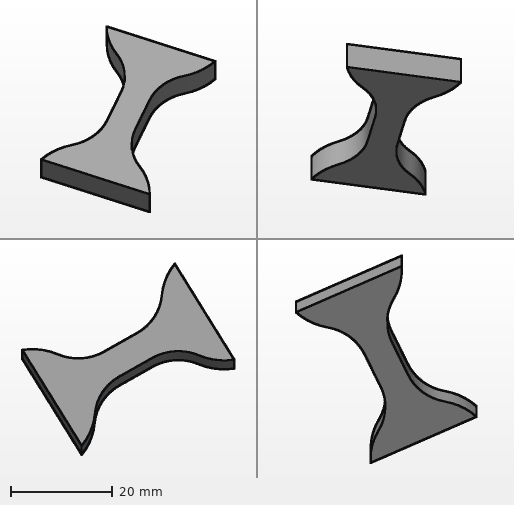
import cadquery as cq
import math

length = 35.0
end_width = 23.05
thickness = 6.0

web_width = 6.0
web_straight_length = 7.55
concave_radius = 10.0
joint_y = 11.95

half_web = web_width / 2
arc_start_y = web_straight_length / 2

sweep = math.asin((joint_y - arc_start_y) / concave_radius)


def concave_point(angle):
    """Point on the concave arc after turning by angle from the web."""
    x = half_web + concave_radius * (1 - math.cos(angle))
    y = arc_start_y + concave_radius * math.sin(angle)
    return (x, y)


quarter = (
    cq.Workplane("XY")
    .lineTo(half_web, 0)
    .lineTo(half_web, arc_start_y)
    .threePointArc(concave_point(sweep / 2), concave_point(sweep))
    .tangentArcPoint((end_width / 2, length / 2), relative=False)
    .lineTo(0, length / 2)
    .close()
    .extrude(thickness)
)

half = quarter.union(quarter.mirror("YZ"))
result = half.union(half.mirror("XZ")).clean()